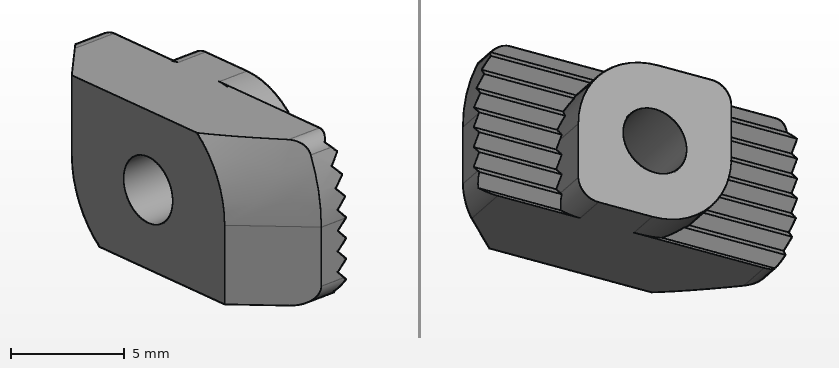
import cadquery as cq
import math

length = 16.0
height = 7.7
total_depth = 6.0

body_depth = 4.5
flank = 3.0
corner_radius = 1.0
hole_diameter = 3.2

boss_large_radius = 4.0

tooth_pitch = boss_large_radius / 4
tooth_depth = tooth_pitch / 2

half_length = length / 2
half_height = height / 2


def extrude_along_y(sketch, start, end):
    """Extrude an XZ sketch from y = start to y = end."""
    return sketch.extrude(-(end - start)).translate((0, start, 0))


def half_profile(side):
    """Half of the body section in XY, on the +X (1) or -X (-1) side."""
    return cq.Workplane("XY").polyline([
        (0, 0),
        (side * (half_length - flank), 0),
        (side * half_length, flank),
        (side * half_length, body_depth),
        (0, body_depth),
    ]).close()


def make_outline():
    """Slab with two square ends and two ends that swing on a circle."""
    arc_end_x = math.sqrt(half_length**2 - half_height**2)
    arc_mid_z = half_height / 2
    arc_mid_x = math.sqrt(half_length**2 - arc_mid_z**2)
    sketch = (
        cq.Workplane("XZ")
        .moveTo(-half_length, 0)
        .lineTo(-half_length, half_height)
        .lineTo(arc_end_x, half_height)
        .threePointArc((arc_mid_x, arc_mid_z), (half_length, 0))
        .lineTo(half_length, -half_height)
        .lineTo(-arc_end_x, -half_height)
        .threePointArc((-arc_mid_x, -arc_mid_z), (-half_length, 0))
        .close()
    )
    slab = extrude_along_y(sketch, 0, body_depth)
    top_corners = slab.faces(">Z").edges("|Y")
    bottom_corners = slab.faces("<Z").edges("|Y")
    return slab.newObject(top_corners.vals() + bottom_corners.vals()).fillet(corner_radius)


def make_body():
    """Flat flanks in two opposite quadrants, conical flanks in the others."""
    cone = half_profile(1).revolve(360, (0, 0, 0), (0, 1, 0))
    upper_left = half_profile(-1).extrude(half_height)
    lower_right = half_profile(1).extrude(-half_height)
    return cone.union(upper_left).union(lower_right).intersect(make_outline())


def cut_serrations(body):
    """Cut V grooves between tooth crests; one crest lies at mid height."""
    groove_pairs = math.ceil(half_height / tooth_pitch)
    for index in range(-groove_pairs, groove_pairs):
        crest = index * tooth_pitch
        groove = (
            cq.Workplane("YZ")
            .polyline([
                (body_depth, crest),
                (body_depth - tooth_depth, crest + tooth_pitch / 2),
                (body_depth, crest + tooth_pitch),
            ])
            .close()
            .extrude(half_length + 0.16, both=True)
        )
        body = body.cut(groove)
    return body


def make_boss():
    """Square boss with two small and two large opposite rounded corners."""
    start = body_depth - tooth_depth
    boss = extrude_along_y(cq.Workplane("XZ").rect(height, height), start, total_depth)
    for side_x in (-1, 1):
        for side_z in (-1, 1):
            radius = boss_large_radius if side_x == side_z else corner_radius
            corner = (side_x * half_height, (start + total_depth) / 2, side_z * half_height)
            boss = boss.edges(cq.selectors.NearestToPointSelector(corner)).fillet(radius)
    return boss


def make_hole():
    return extrude_along_y(cq.Workplane("XZ").circle(hole_diameter / 2), 0, total_depth)


result = cut_serrations(make_body()).union(make_boss()).cut(make_hole())